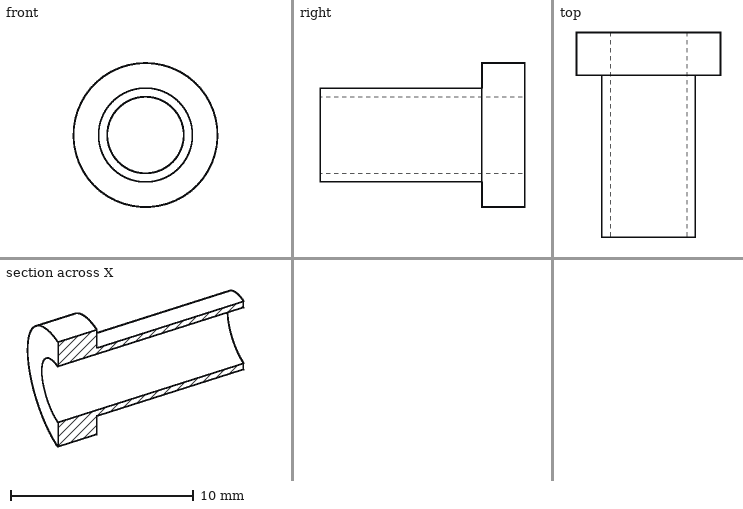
import cadquery as cq

flange_diameter = 7.92
flange_thickness = 2.36
sleeve_diameter = 5.16
bore_diameter = 4.19
overall_length = 11.25

sleeve_length = overall_length - flange_thickness


def cylinder_along_y(diameter, start_y, length):
    """Solid cylinder on the Y axis, running toward +Y from start_y."""
    return cq.Workplane(
        cq.Solid.makeCylinder(diameter / 2, length, cq.Vector(0, start_y, 0), cq.Vector(0, 1, 0))
    )


sleeve = cylinder_along_y(sleeve_diameter, -sleeve_length, overall_length)
flange = cylinder_along_y(flange_diameter, 0, flange_thickness)
bore = cylinder_along_y(bore_diameter, -sleeve_length, overall_length)

result = sleeve.union(flange).cut(bore)